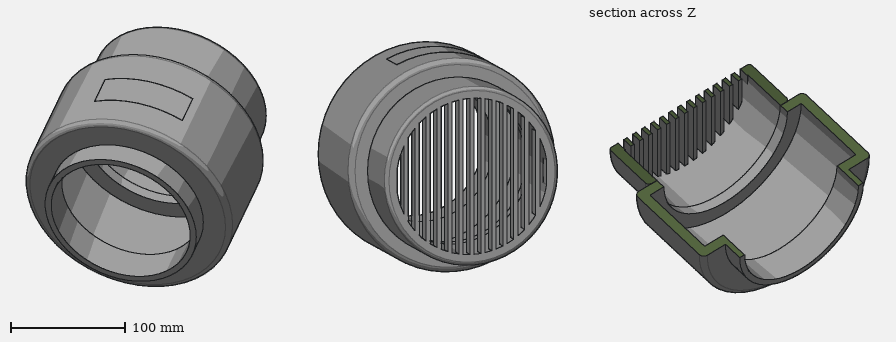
import cadquery as cq
import math

WALL = 10.0

DRUM_RADIUS = 190.0 / 2
DRUM_LENGTH = 96.0
DRUM_FILLET = 5.0
SPIGOT_LENGTH = 20.0
SPIGOT_BORE_RADIUS = 128.0 / 2
SPIGOT_RADIUS = 69.5
DRUM_BACK = SPIGOT_LENGTH + DRUM_LENGTH
DRUM_CAVITY_RADIUS = DRUM_RADIUS - WALL
DRUM_CAVITY_LENGTH = DRUM_LENGTH - 2 * WALL

CAP_RADIUS = 159.0 / 2
CAP_LENGTH = 55.0
CAP_FILLET = 3.2
CAP_BORE_RADIUS = CAP_RADIUS - WALL
CAP_BACK = DRUM_BACK + CAP_LENGTH
BAR_PITCH = 10.0
BAR_WIDTH = 4.0
SLOT_COUNT = 14
SLOT_WIDTH = BAR_PITCH - BAR_WIDTH

LABEL_THICKNESS = 0.2
LABEL_WIDTH = 80.8
LABEL_LENGTH = 29.7
LABEL_CENTER_Y = 65.2


def cylinder(radius, start, length):
    """Solid cylinder on the Y axis, reaching from y = start toward +Y."""
    return cq.Workplane("XZ", origin=(0, start, 0)).circle(radius).extrude(-length)


def make_housing():
    drum = cylinder(DRUM_RADIUS, SPIGOT_LENGTH, DRUM_LENGTH).edges().fillet(DRUM_FILLET)
    spigot = cylinder(SPIGOT_RADIUS, 0, SPIGOT_LENGTH + WALL)
    inlet_bore = cylinder(SPIGOT_BORE_RADIUS, 0, SPIGOT_LENGTH + WALL)
    cavity = cylinder(DRUM_CAVITY_RADIUS, SPIGOT_LENGTH + WALL, DRUM_CAVITY_LENGTH)
    outlet_hole = cylinder(CAP_BORE_RADIUS, DRUM_BACK - WALL, WALL)
    return drum.union(spigot).cut(inlet_bore).cut(cavity).cut(outlet_hole)


def make_slots():
    """Upright slots through the cap's end plate, their ends following the cap bore."""
    first_x = -(SLOT_COUNT - 1) / 2 * BAR_PITCH
    positions = [(first_x + i * BAR_PITCH, 0) for i in range(SLOT_COUNT)]
    strips = (
        cq.Workplane("XZ", origin=(0, CAP_BACK - WALL, 0))
        .pushPoints(positions)
        .rect(SLOT_WIDTH, 2 * CAP_BORE_RADIUS)
        .extrude(-WALL)
    )
    return strips.intersect(cylinder(CAP_BORE_RADIUS, CAP_BACK - WALL, WALL))


def make_outlet_cap():
    outside = cylinder(CAP_RADIUS, DRUM_BACK, CAP_LENGTH).edges().fillet(CAP_FILLET)
    bore = cylinder(CAP_BORE_RADIUS, DRUM_BACK, CAP_LENGTH - WALL)
    return outside.cut(bore).cut(make_slots())


def make_label():
    """Ring sector whose end faces are radial."""
    start_y = LABEL_CENTER_Y - LABEL_LENGTH / 2
    outer_radius = DRUM_RADIUS + LABEL_THICKNESS
    half_angle = math.asin(LABEL_WIDTH / 2 / outer_radius)
    ring = cylinder(outer_radius, start_y, LABEL_LENGTH).cut(cylinder(DRUM_RADIUS, start_y, LABEL_LENGTH))
    wedge_height = 2 * DRUM_RADIUS
    wedge_half_width = wedge_height * math.tan(half_angle)
    wedge = (
        cq.Workplane("XZ", origin=(0, start_y, 0))
        .polyline([(0, 0), (wedge_half_width, wedge_height), (-wedge_half_width, wedge_height)])
        .close()
        .extrude(-LABEL_LENGTH)
    )
    return ring.intersect(wedge)


housing = make_housing()
outlet_cap = make_outlet_cap()
label = make_label()

result = cq.Compound.makeCompound([housing.val(), outlet_cap.val(), label.val()])